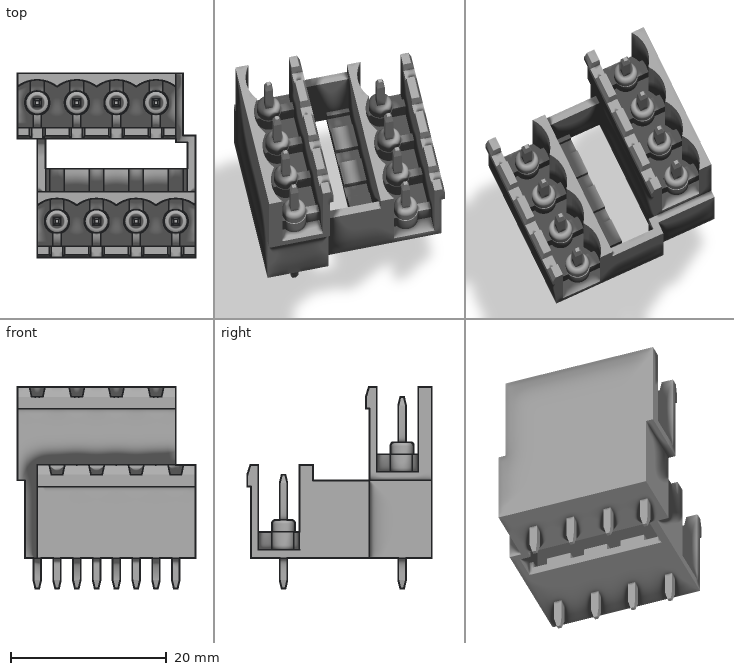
import cadquery as cq


PINS_PER_ROW = 4
ROW_WIDTH = 20.33
PITCH = ROW_WIDTH / PINS_PER_ROW
ROW_SHIFT = 2.55
ROW_SPACING = 15.23
LEVEL_STEP = 10.0
ROW_HEIGHT = 12.0
WIDTH = ROW_WIDTH + ROW_SHIFT

WALL_FRONT = 8.0
FRONT_WALL = 0.95
POCKET_FRONT = WALL_FRONT - FRONT_WALL
CUSP_DEPTH = 1.75
SCALLOP_DEPTH = 0.88
FLOOR = 1.1
PIN_DEPTH = 3.8

LIP_REACH = 0.47
LIP_HEIGHT = 2.8
LIP_SLOPE_RUN = 0.4
LIP_SLOPE_HEIGHT = 1.27
NOTCH_TOP = 2.0
NOTCH_BOTTOM = 1.45

BOSS_DIAMETER = 3.19
BOSS_TOP = 3.37
COLLAR_DIAMETER = 3.0
COLLAR_TOP = 4.92
COLLAR_FILLET = 0.5
REAR_WEB_WIDTH = 1.75
FRONT_WEB_WIDTH = 1.05

BASE_INSET = 0.95
SIDE_WALL = 1.05
JOG_WALL = 0.9
LEDGE_DEPTH = 2.95
LEDGE_HEIGHT = 2.0
LEDGE_GROOVE_WIDTH = 1.86
LEDGE_GROOVE_DEPTH = 0.9

PIN_WIDTH = 1.0
PIN_TIP_WIDTH = 0.5
PIN_TIP_LENGTH = 1.1
PIN_TAIL = 3.9
PIN_RECESS = 1.27

REAR_ROW = (0, 0, LEVEL_STEP)
FRONT_ROW = (ROW_SHIFT, -ROW_SPACING, 0)
ROWS = (REAR_ROW, FRONT_ROW)


def block(x_range, y_range, z_range):
    """Axis-aligned box between the given limits."""
    x0, x1 = x_range
    y0, y1 = y_range
    z0, z1 = z_range
    return cq.Workplane("XY").box(x1 - x0, y1 - y0, z1 - z0, centered=False).translate((x0, y0, z0))


def pin_positions():
    """X of each pin, measured from the left end of its row."""
    return [(i + 0.5) * PITCH for i in range(PINS_PER_ROW)]


def row_profile():
    """Solid row with the sloped latching lip along its front wall."""
    lip_front = -(WALL_FRONT + LIP_REACH)
    outline = [
        (0, 0),
        (-WALL_FRONT, 0),
        (-WALL_FRONT, ROW_HEIGHT - LIP_HEIGHT),
        (lip_front, ROW_HEIGHT - LIP_HEIGHT),
        (lip_front, ROW_HEIGHT - LIP_SLOPE_HEIGHT),
        (lip_front + LIP_SLOPE_RUN, ROW_HEIGHT),
        (0, ROW_HEIGHT),
    ]
    return cq.Workplane("YZ").polyline(outline).close().extrude(ROW_WIDTH)


def pocket():
    """Trough open at both ends, with one scallop per pin in its rear wall."""
    outline = cq.Workplane("XY", origin=(0, 0, FLOOR)).moveTo(0, -CUSP_DEPTH)
    for x in pin_positions():
        outline = outline.threePointArc((x, -SCALLOP_DEPTH), (x + PITCH / 2, -CUSP_DEPTH))
    outline = outline.lineTo(ROW_WIDTH, -POCKET_FRONT).lineTo(0, -POCKET_FRONT).close()
    return outline.extrude(ROW_HEIGHT - FLOOR)


def notch(x):
    """Tapered notch through the top of the front wall."""
    bottom = ROW_HEIGHT - LIP_SLOPE_HEIGHT
    outline = [
        (x - NOTCH_TOP / 2, ROW_HEIGHT),
        (x - NOTCH_BOTTOM / 2, bottom),
        (x + NOTCH_BOTTOM / 2, bottom),
        (x + NOTCH_TOP / 2, ROW_HEIGHT),
    ]
    plane = cq.Workplane("XZ", origin=(0, -POCKET_FRONT, 0))
    return plane.polyline(outline).close().extrude(FRONT_WALL + LIP_REACH)


def pin_support(x):
    """Round boss webbed to the rear and front walls, with a slightly narrower collar on top."""
    boss = cq.Workplane("XY").center(x, -PIN_DEPTH).circle(BOSS_DIAMETER / 2).extrude(BOSS_TOP)
    collar = (
        cq.Workplane("XY")
        .center(x, -PIN_DEPTH)
        .circle(COLLAR_DIAMETER / 2)
        .extrude(COLLAR_TOP)
        .faces(">Z")
        .edges()
        .fillet(COLLAR_FILLET)
    )
    rear_half = REAR_WEB_WIDTH / 2
    front_half = FRONT_WEB_WIDTH / 2
    rear_web = block((x - rear_half, x + rear_half), (-PIN_DEPTH, -SCALLOP_DEPTH), (0, BOSS_TOP))
    front_web = block((x - front_half, x + front_half), (-WALL_FRONT, -PIN_DEPTH), (0, BOSS_TOP))
    return boss.union(collar).union(rear_web).union(front_web)


def make_row():
    row = row_profile().cut(pocket())
    for x in pin_positions():
        row = row.cut(notch(x)).union(pin_support(x))
    return row


def make_base():
    """Block under the rear row, walls around the well, and the grooved ledge in the well."""
    base_right = ROW_WIDTH + BASE_INSET
    under_rear_row = block((BASE_INSET, base_right), (-WALL_FRONT, 0), (0, LEVEL_STEP))
    wall_span = (-ROW_SPACING, -WALL_FRONT)
    left_wall = block((ROW_SHIFT, ROW_SHIFT + SIDE_WALL), wall_span, (0, LEVEL_STEP))
    right_wall = block((WIDTH - SIDE_WALL, WIDTH), wall_span, (0, LEVEL_STEP))
    jog = block((ROW_WIDTH, WIDTH), (-WALL_FRONT - JOG_WALL, -WALL_FRONT), (0, LEVEL_STEP))

    ledge_span = (-ROW_SPACING, -ROW_SPACING + LEDGE_DEPTH)
    ledge = block((ROW_SHIFT, WIDTH), ledge_span, (0, LEDGE_HEIGHT))
    groove_floor = LEDGE_HEIGHT - LEDGE_GROOVE_DEPTH
    for x in pin_positions():
        left = ROW_SHIFT + x - LEDGE_GROOVE_WIDTH / 2
        groove = block((left, left + LEDGE_GROOVE_WIDTH), ledge_span, (groove_floor, LEDGE_HEIGHT))
        ledge = ledge.cut(groove)
    return under_rear_row.union(left_wall).union(right_wall).union(jog).union(ledge)


def make_pin(x, y, top):
    """Square pin with a tapered tip at both ends."""
    shank_bottom = PIN_TIP_LENGTH - PIN_TAIL
    shank_top = top - PIN_TIP_LENGTH
    shank = (
        cq.Workplane("XY", origin=(x, y, shank_bottom))
        .rect(PIN_WIDTH, PIN_WIDTH)
        .extrude(shank_top - shank_bottom)
    )

    def tip(z, direction):
        return (
            cq.Workplane("XY", origin=(x, y, z))
            .rect(PIN_WIDTH, PIN_WIDTH)
            .workplane(offset=direction * PIN_TIP_LENGTH)
            .rect(PIN_TIP_WIDTH, PIN_TIP_WIDTH)
            .loft()
        )

    return shank.union(tip(shank_top, 1)).union(tip(shank_bottom, -1))


def make_pins():
    pins = []
    for row_x, row_y, row_z in ROWS:
        for x in pin_positions():
            pins.append(make_pin(row_x + x, row_y - PIN_DEPTH, row_z + ROW_HEIGHT - PIN_RECESS))
    return pins


def make_housing(pins):
    """Base and both rows in one piece, with a matching hole for every pin."""
    housing = make_base()
    row = make_row()
    for corner in ROWS:
        housing = housing.union(row.translate(corner))
    for pin in pins:
        housing = housing.cut(pin)
    return housing


pins = make_pins()
housing = make_housing(pins)
result = cq.Compound.makeCompound([housing.val(), *[pin.val() for pin in pins]])